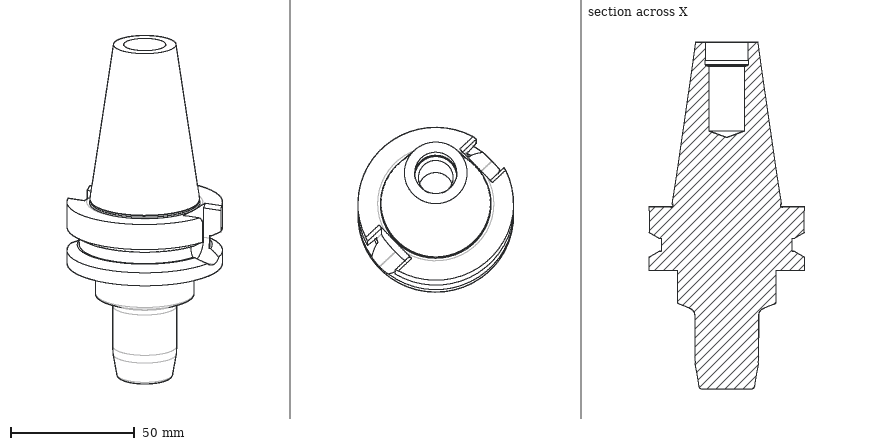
import cadquery as cq
import math


gauge_diameter = 44.45
taper_ratio = 7 / 24
shank_length = 65.4
taper_base_z = 0.0
neck_diameter = 43.85
neck_foot_diameter = 44.8

flange_diameter = 62.98
flange_top_z = -1.1
flange_bottom_z = -27.0
recess_diameter = 47.0
recess_slope_angle = 15.0
groove_center_z = -16.6
groove_floor_diameter = 53.0
groove_floor_width = 5.0
groove_mouth_width = 9.8
groove_side_angle = 30.0

slot_width = 16.2
slot_floor_x = 22.6
slot_bottom_z = -23.1
slot_corner_radius = 8.0
slot_chamfer_width = 1.45
slot_chamfer_height = 1.6
slot_overrun = 1.0

body_diameter = 40.0
body_bottom_z = -40.3
body_edge_radius = 1.0
shoulder_angle = 22.0
nose_diameter = 26.0
nose_root_radius = 2.7
nose_straight_end_z = -62.0
nose_cone_top_z = -65.3
nose_cone_top_diameter = 25.7
nose_end_z = -75.0
nose_end_diameter = 22.3
nose_edge_radius = 1.3

pilot_diameter = 17.01
pilot_depth = 7.4
relief_diameter = 17.41
relief_depth = 9.1
land_depth = 9.4
thread_diameter = 14.0
thread_depth = 36.0
countersink_angle = 20.0
drill_tip_angle = 140.0

selection_margin = 0.1


def revolve_profile(points):
    """Revolve a closed (radius, z) outline about the Z axis."""
    return cq.Workplane("XZ").polyline(points).close().revolve(360, (0, 0, 0), (0, 1, 0))


def round_ring_edge(solid, ring_radius, ring_z, fillet_radius):
    """Fillet the circular edge of the given radius and height."""
    reach = ring_radius + selection_margin
    ring_box = cq.selectors.BoxSelector(
        (-reach, -reach, ring_z - selection_margin),
        (reach, reach, ring_z + selection_margin),
        boundingbox=True,
    )
    return solid.edges(ring_box).fillet(fillet_radius)


def make_shank_and_flange():
    flange_radius = flange_diameter / 2
    floor_radius = groove_floor_diameter / 2
    half_mouth = groove_mouth_width / 2
    half_floor = groove_floor_width / 2
    side_foot_radius = flange_radius - (half_mouth - half_floor) / math.tan(math.radians(groove_side_angle))
    top_radius = (gauge_diameter - shank_length * taper_ratio) / 2
    base_radius = (gauge_diameter - taper_base_z * taper_ratio) / 2
    neck_radius = neck_diameter / 2
    neck_foot_radius = neck_foot_diameter / 2
    recess_radius = recess_diameter / 2
    recess_depth = (recess_radius - neck_foot_radius) * math.tan(math.radians(recess_slope_angle))
    recess_floor_z = flange_top_z - recess_depth
    return revolve_profile([
        (0, shank_length),
        (top_radius, shank_length),
        (base_radius, taper_base_z),
        (neck_radius, taper_base_z - (base_radius - neck_radius)),
        (neck_radius, recess_floor_z + (neck_foot_radius - neck_radius)),
        (neck_foot_radius, recess_floor_z),
        (recess_radius, flange_top_z),
        (flange_radius, flange_top_z),
        (flange_radius, groove_center_z + half_mouth),
        (side_foot_radius, groove_center_z + half_floor),
        (floor_radius, groove_center_z + half_floor),
        (floor_radius, groove_center_z - half_floor),
        (side_foot_radius, groove_center_z - half_floor),
        (flange_radius, groove_center_z - half_mouth),
        (flange_radius, flange_bottom_z),
        (0, flange_bottom_z),
    ])


def make_nose():
    body_radius = body_diameter / 2
    nose_radius = nose_diameter / 2
    shoulder_drop = (body_radius - nose_radius) * math.tan(math.radians(shoulder_angle))
    shoulder_root_z = body_bottom_z - shoulder_drop
    nose = revolve_profile([
        (0, flange_bottom_z),
        (body_radius, flange_bottom_z),
        (body_radius, body_bottom_z),
        (nose_radius, shoulder_root_z),
        (nose_radius, nose_straight_end_z),
        (nose_cone_top_diameter / 2, nose_cone_top_z),
        (nose_end_diameter / 2, nose_end_z),
        (0, nose_end_z),
    ])
    nose = round_ring_edge(nose, body_radius, body_bottom_z, body_edge_radius)
    nose = round_ring_edge(nose, nose_radius, shoulder_root_z, nose_root_radius)
    return round_ring_edge(nose, nose_end_diameter / 2, nose_end_z, nose_edge_radius)


def make_drive_slot(side):
    """Slot cutter with rounded bottom corners and a chamfered mouth; side is +1 or -1 along X."""
    half_width = slot_width / 2
    half_mouth = half_width + slot_chamfer_width
    chamfer_z = flange_top_z - slot_chamfer_height
    return (
        cq.Workplane("YZ", origin=(side * slot_floor_x, 0, 0))
        .moveTo(-half_mouth, flange_top_z)
        .lineTo(-half_width, chamfer_z)
        .lineTo(-half_width, slot_bottom_z)
        .lineTo(half_width, slot_bottom_z)
        .lineTo(half_width, chamfer_z)
        .lineTo(half_mouth, flange_top_z)
        .close()
        .extrude(side * (flange_diameter / 2 - slot_floor_x + slot_overrun))
        .edges("|X and <Z")
        .fillet(slot_corner_radius)
    )


def make_pull_stud_hole():
    pilot_radius = pilot_diameter / 2
    relief_radius = relief_diameter / 2
    thread_radius = thread_diameter / 2
    countersink_depth = (pilot_radius - thread_radius) * math.tan(math.radians(countersink_angle))
    tip_depth = thread_radius / math.tan(math.radians(drill_tip_angle / 2))
    return revolve_profile([
        (0, shank_length),
        (pilot_radius, shank_length),
        (pilot_radius, shank_length - pilot_depth),
        (relief_radius, shank_length - pilot_depth),
        (relief_radius, shank_length - relief_depth),
        (pilot_radius, shank_length - relief_depth),
        (pilot_radius, shank_length - land_depth),
        (thread_radius, shank_length - land_depth - countersink_depth),
        (thread_radius, shank_length - thread_depth),
        (0, shank_length - thread_depth - tip_depth),
    ])


holder = make_shank_and_flange().union(make_nose())
for side in (1, -1):
    holder = holder.cut(make_drive_slot(side))
result = holder.cut(make_pull_stud_hole())